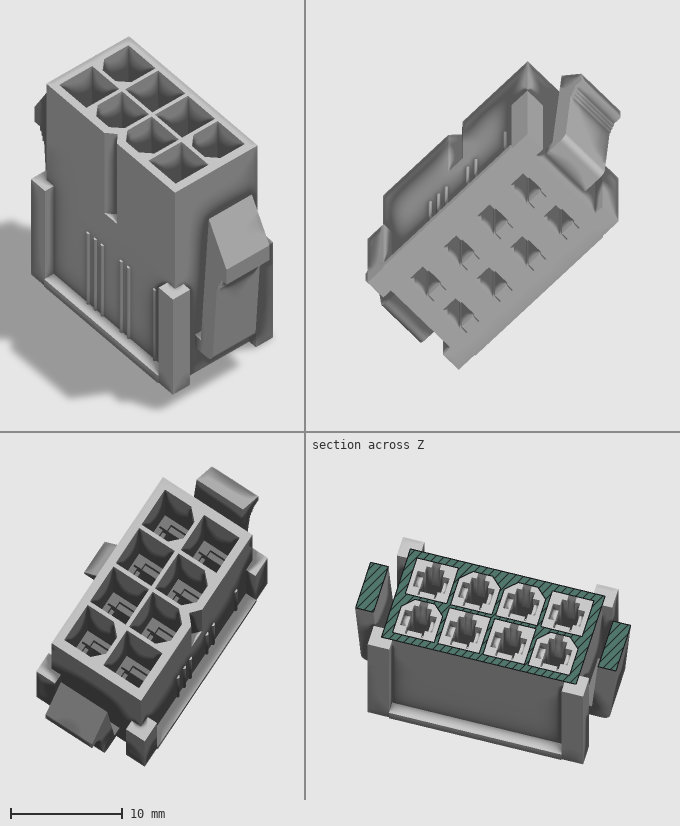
import cadquery as cq

body_width = 18.15
body_depth = 9.6
height = 23.9

post_span_x = 20.05
post_span_y = 11.63
post_size = 2.0
post_height = 11.9
flange_span_y = 11.82
flange_height = 0.95

columns = 4
rows = 2
pitch = 4.2
cavity_size = 3.82
cavity_chamfer = 1.0
floor_z = post_height
chamfered_cavities = {(0, 1), (3, 1), (1, 0), (2, 0)}

opening_half_width = 0.98
opening_top = 0.98
opening_step = -0.68
neck_half_width = 0.85
neck_bottom = -1.33
slot_width = 0.175
slot_top = 1.73
pocket_half_span = 1.5
tongue_step = 1.33
recess_depth = 1.0
ramp_width = 0.75
ramp_depth = 2.98

catch_width = 3.35
catch_reach = 6.18
catch_bottom = 20.87
catch_lip = 0.55
catch_top = 23.77
catch_root = 0.14

groove_half_width = 0.9
groove_depth = 0.8
groove_bottom = 13.88

rib_places = [-3.12, -2.1, -1.1, 1.57, 2.6, 6.3]
rib_radius = 0.2
rib_top = 9.78

arm_width = 4.99
arm_reach = 13.55
arm_tip = (11.05, 20.68)
arm_inner_foot = (9.92, 4.75)
arm_foot_z = 3.22
arm_foot_x = 11.55
arm_foot_radius = 0.73
hook_top = 16.2
hook_bottom = 14.35
tooth_x = [12.76, 12.57, 12.38, 12.2]
tooth_bottoms = [13.88, 13.41, 12.85]


def block(x_min, x_max, y_min, y_max, z_min, z_max):
    """Box given by its limits along each axis."""
    size = (x_max - x_min, y_max - y_min, z_max - z_min)
    return cq.Workplane("XY").box(*size, centered=False).translate((x_min, y_min, z_min))


def make_shell():
    """Main block with its four corner posts and two base flanges."""
    shell = cq.Workplane("XY").box(body_width, body_depth, height, centered=(True, True, False))
    post_x = (post_span_x - post_size) / 2
    post_y = (post_span_y - post_size) / 2
    posts = (
        cq.Workplane("XY")
        .rect(2 * post_x, 2 * post_y, forConstruction=True)
        .vertices()
        .rect(post_size, post_size)
        .extrude(post_height)
    )
    flange_length = post_span_x - 2 * post_size
    flanges = cq.Workplane("XY").rect(flange_length, flange_span_y).extrude(flange_height)
    return shell.union(posts).union(flanges)


def make_catch():
    """Wedge that the mating latch snaps over."""
    face_y = body_depth / 2
    return (
        cq.Workplane("YZ")
        .moveTo(face_y - catch_root, catch_bottom)
        .lineTo(catch_reach, catch_bottom)
        .lineTo(catch_reach, catch_bottom + catch_lip)
        .lineTo(face_y, catch_top)
        .lineTo(face_y - catch_root, catch_top)
        .close()
        .extrude(catch_width / 2, both=True)
    )


def make_ribs():
    """Half-round ribs on the -Y face, standing on the flange."""
    centres = [(x, -body_depth / 2) for x in rib_places]
    return (
        cq.Workplane("XY", origin=(0, 0, flange_height))
        .pushPoints(centres)
        .circle(rib_radius)
        .extrude(rib_top - flange_height)
    )


def make_arm():
    """Sprung panel-mount arm on the +X side, joined to the block at its foot."""
    outline = (
        cq.Workplane("XZ")
        .moveTo(body_width / 2, arm_foot_z)
        .lineTo(body_width / 2, arm_inner_foot[1])
        .lineTo(*arm_inner_foot)
        .lineTo(*arm_tip)
        .lineTo(arm_reach, hook_top)
        .lineTo(arm_reach, hook_bottom)
        .lineTo(tooth_x[0], hook_bottom)
    )
    for x, next_x, z in zip(tooth_x, tooth_x[1:], tooth_bottoms):
        outline = outline.lineTo(x, z).lineTo(next_x, z)
    arm = outline.lineTo(arm_foot_x, arm_foot_z).close().extrude(arm_width / 2, both=True)
    heel = cq.selectors.NearestToPointSelector((arm_foot_x, 0, arm_foot_z))
    return arm.edges(heel).fillet(arm_foot_radius)


def make_groove():
    """V-shaped keying groove, open at the top."""
    face_y = -body_depth / 2
    return (
        cq.Workplane("XY", origin=(0, 0, groove_bottom))
        .moveTo(-groove_half_width, face_y)
        .lineTo(groove_half_width, face_y)
        .lineTo(0, face_y + groove_depth)
        .close()
        .extrude(height - groove_bottom)
    )


def make_cavity(chamfered):
    """Cavity cut, centred on the Z axis, with the terminal opening through its floor."""
    half = cavity_size / 2
    cavity = block(-half, half, -half, half, floor_z, height)
    if chamfered:
        cavity = cavity.faces("<Y").edges("|Z").chamfer(cavity_chamfer)

    cavity = cavity.union(block(-opening_half_width, opening_half_width, opening_step, opening_top, 0, floor_z))
    cavity = cavity.union(block(-neck_half_width, neck_half_width, neck_bottom, opening_step, 0, floor_z))
    tongue_half = neck_half_width - slot_width
    for slot_x in (-neck_half_width, tongue_half):
        cavity = cavity.union(block(slot_x, slot_x + slot_width, opening_top, slot_top, 0, floor_z))

    recess_z = floor_z - recess_depth
    recesses = [
        (pocket_half_span, opening_step, opening_top),
        (tongue_half, opening_top, tongue_step),
    ]
    for half_width, y_min, y_max in recesses:
        cavity = cavity.union(block(-half_width, half_width, y_min, y_max, recess_z, floor_z))

    ramp = (
        cq.Workplane("YZ")
        .moveTo(-half, floor_z)
        .lineTo(neck_bottom, floor_z)
        .lineTo(neck_bottom, floor_z - ramp_depth)
        .close()
        .extrude(ramp_width / 2, both=True)
    )
    return cavity.union(ramp)


arm = make_arm()
result = make_shell().union(make_catch()).union(make_ribs()).union(arm).union(arm.mirror("YZ"))
result = result.cut(make_groove())
for column in range(columns):
    for row in range(rows):
        place_x = (column - (columns - 1) / 2) * pitch
        place_y = (row - (rows - 1) / 2) * pitch
        cavity = make_cavity((column, row) in chamfered_cavities)
        result = result.cut(cavity.translate((place_x, place_y, 0)))